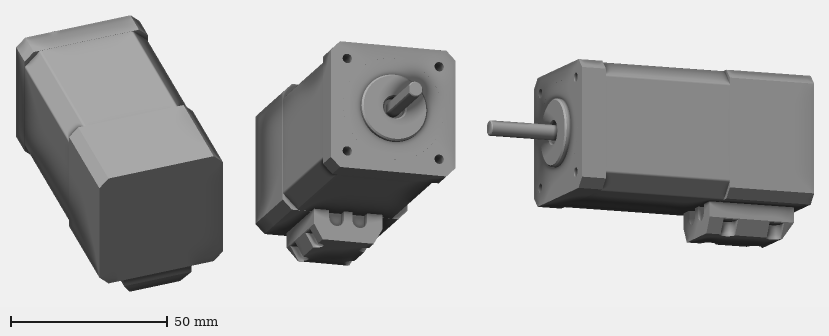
import cadquery as cq
import math


TOTAL_LENGTH = 103.7
FLANGE_FRONT = 23.7
FLANGE_THICKNESS = 8.2
STATOR_FRONT = FLANGE_FRONT + FLANGE_THICKNESS
STATOR_LENGTH = 42.7
REAR_FLANGE_FRONT = STATOR_FRONT + STATOR_LENGTH
REAR_FLANGE_THICKNESS = 8.8
COVER_FRONT = REAR_FLANGE_FRONT + REAR_FLANGE_THICKNESS

FRAME_SIZE = 42.0
FRAME_CHAMFER = 3.1

HOLE_PITCH = 30.9
HOLE_DIAMETER = 3.1

STATOR_SIZE = 41.9
STATOR_CHAMFER = 5.2
STATOR_EDGE_RADIUS = 1.0

PLUG_DIAMETER = 33.6
PILOT_DIAMETER = 22.1
PILOT_HEIGHT = 1.9
PILOT_CHAMFER = 0.5
SHAFT_RECESS_DIAMETER = 8.1
SHAFT_RECESS_DEPTH = 3.1
SHAFT_RECESS_CHAMFER = 0.5

SHAFT_DIAMETER = 5.0
SHAFT_FLAT_OFFSET = 2.1
SHAFT_TIP_CHAMFER = 0.3

CONNECTOR_FRONT = 71.5
CONNECTOR_LENGTH = 29.0
CONNECTOR_WIDTH = 22.9
CONNECTOR_HEIGHT = 10.0
CONNECTOR_TOP = -FRAME_SIZE / 2
CONNECTOR_BOTTOM = CONNECTOR_TOP - CONNECTOR_HEIGHT
SLOPE_HEIGHT = CONNECTOR_HEIGHT / 2
SLOPE_ANGLE = 30.0
SLOPE_RUN = SLOPE_HEIGHT * math.tan(math.radians(SLOPE_ANGLE))

SCREW_SLOT_WIDTH = 5.0
SCREW_SLOT_CENTERS = (78.8, 94.7)
SCREW_SLOT_CEILING_DROP = 0.3
SCREW_SLOT_HEIGHT = SLOPE_HEIGHT - SCREW_SLOT_CEILING_DROP
SCREW_AXIS_OFFSET = CONNECTOR_WIDTH / 2 - SLOPE_RUN
CABLE_RECESS_WIDTH = 5.0
CABLE_RECESS_SPACING = 7.8
CABLE_AXIS_DROP = 2.6
CABLE_RECESS_DEPTH = 3.1


def section_plane(x):
    """Workplane across the motor axis at x, drawn in Y and Z and extruded toward +X."""
    return cq.Workplane("YZ", origin=(x, 0, 0))


def frame_block(x, length):
    block = section_plane(x).rect(FRAME_SIZE, FRAME_SIZE).extrude(length)
    return block.edges("|X").chamfer(FRAME_CHAMFER)


def make_shaft():
    radius = SHAFT_DIAMETER / 2
    half_section = cq.Workplane("XZ").rect(STATOR_FRONT, radius, centered=False)
    shaft = half_section.revolve(360, (0, 0), (1, 0))
    shaft = shaft.faces("<X").chamfer(SHAFT_TIP_CHAMFER)
    flat_length = FLANGE_FRONT - PILOT_HEIGHT + SHAFT_RECESS_DEPTH
    flat = cq.Workplane("XY").box(flat_length, radius, SHAFT_DIAMETER, centered=(False, False, True))
    return shaft.cut(flat.translate((0, SHAFT_FLAT_OFFSET, 0)))


def make_front_flange():
    holes = (
        section_plane(FLANGE_FRONT)
        .rect(HOLE_PITCH, HOLE_PITCH, forConstruction=True)
        .vertices()
        .circle(HOLE_DIAMETER / 2)
        .extrude(FLANGE_THICKNESS)
    )
    plug_seat = section_plane(FLANGE_FRONT).circle(PLUG_DIAMETER / 2).extrude(FLANGE_THICKNESS)
    return frame_block(FLANGE_FRONT, FLANGE_THICKNESS).cut(holes).cut(plug_seat)


def make_pilot_plug():
    """Stepped disc turned about the shaft axis, from an outline in x and radius."""
    pilot_front = FLANGE_FRONT - PILOT_HEIGHT
    recess_floor = pilot_front + SHAFT_RECESS_DEPTH
    recess_radius = SHAFT_RECESS_DIAMETER / 2
    outline = [
        (STATOR_FRONT, SHAFT_DIAMETER / 2),
        (recess_floor, SHAFT_DIAMETER / 2),
        (recess_floor, recess_radius - SHAFT_RECESS_CHAMFER),
        (pilot_front + SHAFT_RECESS_CHAMFER, recess_radius - SHAFT_RECESS_CHAMFER),
        (pilot_front, recess_radius),
        (pilot_front, PILOT_DIAMETER / 2 - PILOT_CHAMFER),
        (pilot_front + PILOT_CHAMFER, PILOT_DIAMETER / 2),
        (FLANGE_FRONT, PILOT_DIAMETER / 2),
        (FLANGE_FRONT, PLUG_DIAMETER / 2),
        (STATOR_FRONT, PLUG_DIAMETER / 2),
    ]
    return cq.Workplane("XZ").polyline(outline).close().revolve(360, (0, 0), (1, 0))


def make_stator():
    stator = section_plane(STATOR_FRONT).rect(STATOR_SIZE, STATOR_SIZE).extrude(STATOR_LENGTH)
    return stator.edges("|X").chamfer(STATOR_CHAMFER).edges("|X").fillet(STATOR_EDGE_RADIUS)


def screw_slot(x, side):
    """Round-ended slot open to the bottom and to one side (+1 or -1 along Y) of the connector."""
    radius = SCREW_SLOT_WIDTH / 2
    axis_y = side * SCREW_AXIS_OFFSET
    inner_y = axis_y - side * radius
    outer_y = side * CONNECTOR_WIDTH / 2
    return (
        cq.Workplane("XY", origin=(0, 0, CONNECTOR_BOTTOM))
        .moveTo(x - radius, outer_y)
        .lineTo(x - radius, axis_y)
        .threePointArc((x, inner_y), (x + radius, axis_y))
        .lineTo(x + radius, outer_y)
        .close()
        .extrude(SCREW_SLOT_HEIGHT)
    )


def cable_recess(y):
    """Round-bottomed recess running from the connector's top down its front face."""
    radius = CABLE_RECESS_WIDTH / 2
    axis_z = CONNECTOR_TOP - CABLE_AXIS_DROP
    return (
        section_plane(CONNECTOR_FRONT)
        .moveTo(y - radius, CONNECTOR_TOP)
        .lineTo(y - radius, axis_z)
        .threePointArc((y, axis_z - radius), (y + radius, axis_z))
        .lineTo(y + radius, CONNECTOR_TOP)
        .close()
        .extrude(CABLE_RECESS_DEPTH)
    )


def make_connector():
    slope_top = CONNECTOR_BOTTOM + SLOPE_HEIGHT
    half_width = CONNECTOR_WIDTH / 2
    connector_rear = CONNECTOR_FRONT + CONNECTOR_LENGTH
    cross_section = [
        (-half_width, CONNECTOR_TOP),
        (-half_width, slope_top),
        (SLOPE_RUN - half_width, CONNECTOR_BOTTOM),
        (half_width - SLOPE_RUN, CONNECTOR_BOTTOM),
        (half_width, slope_top),
        (half_width, CONNECTOR_TOP),
    ]
    side_outline = [
        (CONNECTOR_FRONT, CONNECTOR_TOP),
        (CONNECTOR_FRONT, CONNECTOR_BOTTOM),
        (connector_rear - SLOPE_RUN, CONNECTOR_BOTTOM),
        (connector_rear, slope_top),
        (connector_rear, CONNECTOR_TOP),
    ]
    connector = section_plane(CONNECTOR_FRONT).polyline(cross_section).close().extrude(CONNECTOR_LENGTH)
    side = cq.Workplane("XZ").polyline(side_outline).close().extrude(half_width, both=True)
    connector = connector.intersect(side)
    for x in SCREW_SLOT_CENTERS:
        for side_sign in (-1, 1):
            connector = connector.cut(screw_slot(x, side_sign))
    for y in (-CABLE_RECESS_SPACING / 2, CABLE_RECESS_SPACING / 2):
        connector = connector.cut(cable_recess(y))
    return connector


shaft = make_shaft()
front_flange = make_front_flange()
pilot_plug = make_pilot_plug()
stator = make_stator()
rear_flange = frame_block(REAR_FLANGE_FRONT, REAR_FLANGE_THICKNESS)
rear_cover = frame_block(COVER_FRONT, TOTAL_LENGTH - COVER_FRONT)
connector = make_connector()

result = cq.Compound.makeCompound(
    [
        shaft.val(),
        front_flange.val(),
        pilot_plug.val(),
        stator.val(),
        rear_flange.val(),
        rear_cover.val(),
        connector.val(),
    ]
)